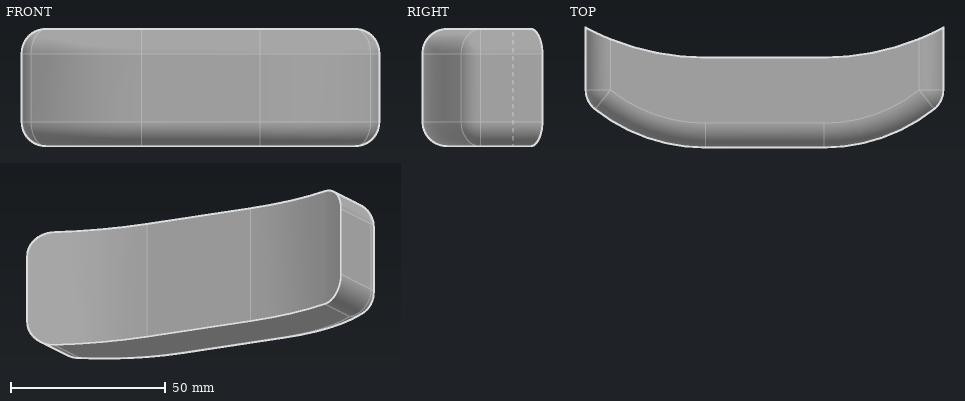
import cadquery as cq
import math

length = 116.0
depth = 39.0
height = 38.0

flat_length = 38.3
front_radius = 57.7
back_sweep = 9.7
edge_fillet = 8.0

half_length = length / 2
half_flat = flat_length / 2
wing_length = half_length - half_flat
back_radius = (wing_length**2 + back_sweep**2) / (2 * back_sweep)

front_y = -depth / 2
tip_y = depth / 2
back_y = tip_y - back_sweep


def rise(radius, run):
    """Height of an arc above its tangent line, a given run from the tangent point."""
    return radius - math.sqrt(radius**2 - run**2)


mid_run = wing_length / 2
mid_x = half_flat + mid_run
front_mid_y = front_y + rise(front_radius, mid_run)
front_end_y = front_y + rise(front_radius, wing_length)
back_mid_y = back_y + rise(back_radius, mid_run)

body = (
    cq.Workplane("XY")
    .workplane(offset=-height / 2)
    .moveTo(-half_flat, front_y)
    .lineTo(half_flat, front_y)
    .threePointArc((mid_x, front_mid_y), (half_length, front_end_y))
    .lineTo(half_length, tip_y)
    .threePointArc((mid_x, back_mid_y), (half_flat, back_y))
    .lineTo(-half_flat, back_y)
    .threePointArc((-mid_x, back_mid_y), (-half_length, tip_y))
    .lineTo(-half_length, front_end_y)
    .threePointArc((-mid_x, front_mid_y), (-half_flat, front_y))
    .close()
    .extrude(height)
)

front_corners = body.edges("|Z").edges("<X or >X").edges("<Y")
end_rims = body.faces("<X or >X").edges("|Y")
front_rims = body.faces("<Y").edges("|X")
front_wing_rims = body.edges("%CIRCLE").filter(
    lambda edge: math.isclose(edge.radius(), front_radius, rel_tol=1e-6)
)
rounded_edges = front_corners.add(end_rims).add(front_rims).add(front_wing_rims)

result = rounded_edges.fillet(edge_fillet)